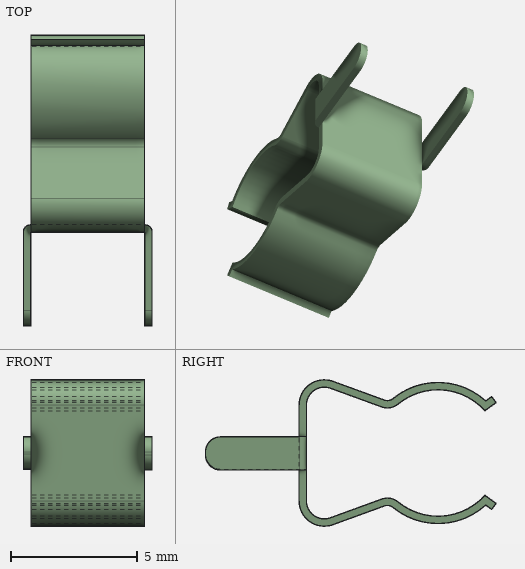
import cadquery as cq
import math

thickness = 0.3
clip_width = 4.5
clip_length = 7.8

spine_half_height = 1.9
corner_radius = 1.0
leg_slope = math.radians(20)
neck_radius = 0.35

jaw_inner_radius = 2.5
jaw_outer_radius = jaw_inner_radius + thickness
jaw_center_y = 5.5
jaw_end_angle = math.radians(48)
lip_slope = math.radians(36)

tab_length = 3.7
tab_top = 0.64
left_tab_bottom = -0.64
right_tab_bottom = -0.68
tab_tip_radius = 0.61
fold_radius = 0.29


def polar(center, radius, angle):
    """Point (y, z) at an angle measured from +Z towards +Y."""
    return (center[0] + radius * math.sin(angle), center[1] + radius * math.cos(angle))


def extrude_across(sketch):
    return sketch.extrude(clip_width / 2, both=True)


corner_center = (corner_radius, spine_half_height)
jaw_center = (jaw_center_y, 0)

neck_line_offset = (
    (corner_center[0] - jaw_center_y) * math.sin(leg_slope)
    + corner_center[1] * math.cos(leg_slope)
    + corner_radius + neck_radius
)
neck_distance = jaw_outer_radius + neck_radius
neck_angle = leg_slope - math.acos(neck_line_offset / neck_distance)
neck_center = polar(jaw_center, neck_distance, neck_angle)


def upper_strip():
    """Half spine, corner, leg, neck and jaw as one strip of constant thickness."""
    corner_inner = corner_radius - thickness
    neck_inner = neck_radius + thickness
    corner_mid = (leg_slope - math.pi / 2) / 2
    leg_touch = leg_slope + math.pi
    jaw_touch = neck_angle + math.pi
    neck_mid = (leg_touch + jaw_touch) / 2
    jaw_mid = (neck_angle + jaw_end_angle) / 2
    outline = (
        cq.Workplane("YZ")
        .moveTo(0, 0)
        .lineTo(0, spine_half_height)
        .threePointArc(
            polar(corner_center, corner_radius, corner_mid),
            polar(corner_center, corner_radius, leg_slope),
        )
        .lineTo(*polar(neck_center, neck_radius, leg_touch))
        .threePointArc(
            polar(neck_center, neck_radius, neck_mid),
            polar(neck_center, neck_radius, jaw_touch),
        )
        .threePointArc(
            polar(jaw_center, jaw_outer_radius, jaw_mid),
            polar(jaw_center, jaw_outer_radius, jaw_end_angle),
        )
        .lineTo(*polar(jaw_center, jaw_inner_radius, jaw_end_angle))
        .threePointArc(
            polar(jaw_center, jaw_inner_radius, jaw_mid),
            polar(jaw_center, jaw_inner_radius, neck_angle),
        )
        .threePointArc(
            polar(neck_center, neck_inner, neck_mid),
            polar(neck_center, neck_inner, leg_touch),
        )
        .lineTo(*polar(corner_center, corner_inner, leg_slope))
        .threePointArc(
            polar(corner_center, corner_inner, corner_mid),
            (thickness, spine_half_height),
        )
        .lineTo(thickness, 0)
        .close()
    )
    return extrude_across(outline)


def upper_lip():
    """Lead-in lip flared outwards from the inner edge of the jaw's end."""
    root = polar(jaw_center, jaw_inner_radius, jaw_end_angle)
    lip_length = (clip_length - root[0]) / math.cos(lip_slope)
    lip_angle = math.pi / 2 - lip_slope
    end = polar(root, lip_length, lip_angle)
    outline = cq.Workplane("YZ").polyline([
        root,
        end,
        polar(end, thickness, -lip_slope),
        polar(root, thickness, -lip_slope),
    ]).close()
    return extrude_across(outline)


def tab(side, bottom):
    """Solder tab folded back from one edge of the spine; side is -1 or +1 along X."""
    inner_x = side * clip_width / 2
    center_x = inner_x + side * thickness / 2
    blade = (
        cq.Workplane("XY")
        .box(thickness, tab_length + thickness, tab_top - bottom, centered=(True, False, False))
        .translate((center_x, -tab_length, bottom))
        .edges("|X and <Y")
        .fillet(tab_tip_radius)
    )
    fold_edge = ">X" if side > 0 else "<X"
    return blade.faces(fold_edge).edges(">Y").fillet(fold_radius)


upper_half = upper_strip().union(upper_lip())
result = (
    upper_half
    .union(upper_half.mirror("XY"))
    .union(tab(-1, left_tab_bottom))
    .union(tab(1, right_tab_bottom))
)